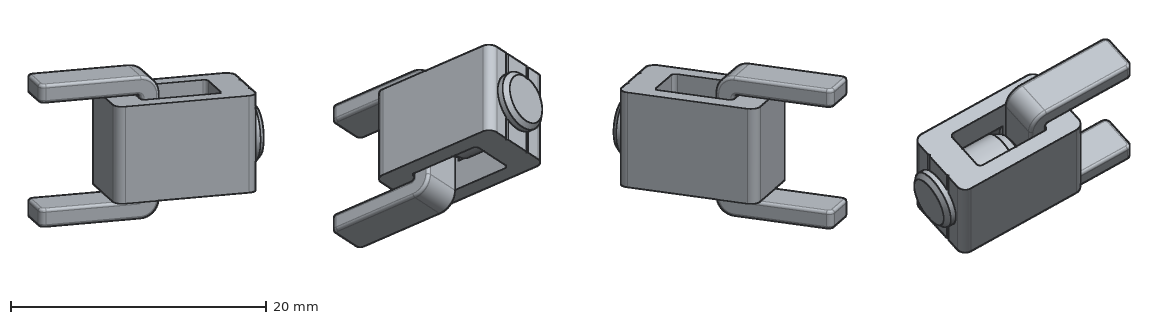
import cadquery as cq
import math

housing_width = 6.68
housing_length = 11.68
housing_height = 7.92
housing_corner_radius = 0.78
window_width = 3.94
window_wall = 2.54
window_corner_radius = 0.36
housing_back = housing_length / 2
window_back = housing_back - window_wall
window_front = -housing_length / 2 + window_wall
window_length = window_back - window_front

groove_offset = 1.26
groove_width = 0.24
groove_depth = 0.12

clip_height = 11.68
clip_width = 3.5
clip_thickness = 1.545
clip_overhang = 5.74
clip_inner_bend_radius = 0.25
clip_outer_bend_radius = clip_thickness
clip_tip_radius = 0.5
clip_edge_radius = 0.26
clip_web_back = window_front + clip_thickness
clip_tip = -housing_length / 2 - clip_overhang
leg_inner_height = clip_height / 2 - clip_thickness

screw_diameter = 4.83
screw_radius = screw_diameter / 2
screw_protrusion = 0.89
screw_head_chamfer = 0.4
nose_edge_radius = 3.96 / 2
nose_height = 0.59
shoulder_length = 0.82
screw_back = housing_back + screw_protrusion
nose_edge = clip_web_back + nose_height
nose_sphere_radius = (nose_edge_radius**2 + nose_height**2) / (2 * nose_height)


def make_housing():
    block = (
        cq.Workplane("XY")
        .box(housing_width, housing_length, housing_height)
        .edges("|Z")
        .fillet(housing_corner_radius)
    )
    window = (
        cq.Workplane("XY")
        .center(0, (window_back + window_front) / 2)
        .box(window_width, window_length, housing_height)
        .edges("|Z")
        .fillet(window_corner_radius)
    )
    bore = (
        cq.Workplane("XZ", origin=(0, housing_back, 0))
        .circle(screw_radius)
        .extrude(housing_back - clip_web_back)
    )
    block = block.cut(window).cut(bore)
    for side in (-1, 1):
        block = block.cut(make_groove(side * groove_offset))
    return block


def make_groove(x):
    return (
        cq.Workplane("XY", origin=(x, housing_back, -housing_height / 2))
        .moveTo(-groove_width / 2, 0)
        .lineTo(0, -groove_depth)
        .lineTo(groove_width / 2, 0)
        .close()
        .extrude(housing_height)
    )


def make_clip():
    outer = (
        cq.Workplane("XY")
        .box(clip_width, clip_web_back - clip_tip, clip_height)
        .translate((0, (clip_web_back + clip_tip) / 2, 0))
        .edges("|X and >Y")
        .fillet(clip_outer_bend_radius)
        .edges("|Z and <Y")
        .fillet(clip_tip_radius)
    )
    gap = (
        cq.Workplane("XY")
        .box(clip_width, window_front - clip_tip, 2 * leg_inner_height)
        .translate((0, (window_front + clip_tip) / 2, 0))
        .edges("|X and >Y")
        .fillet(clip_inner_bend_radius)
    )
    clip = outer.cut(gap)
    return clip.faces(">X or <X").edges().fillet(clip_edge_radius)


def make_screw():
    shoulder_start = nose_edge + shoulder_length
    nose_half_angle = math.asin(nose_edge_radius / nose_sphere_radius) / 2
    nose_middle = (
        nose_sphere_radius * math.sin(nose_half_angle),
        clip_web_back + nose_sphere_radius * (1 - math.cos(nose_half_angle)),
    )
    return (
        cq.Workplane("XY")
        .moveTo(0, screw_back)
        .lineTo(screw_radius - screw_head_chamfer, screw_back)
        .lineTo(screw_radius, screw_back - screw_head_chamfer)
        .lineTo(screw_radius, shoulder_start)
        .lineTo(nose_edge_radius, nose_edge)
        .threePointArc(nose_middle, (0, clip_web_back))
        .close()
        .revolve(360, (0, 0), (0, 1))
    )


housing = make_housing()
clip = make_clip()
screw = make_screw()

bodies = [body.solids().val() for body in (housing, clip, screw)]
result = cq.Compound.makeCompound(bodies)